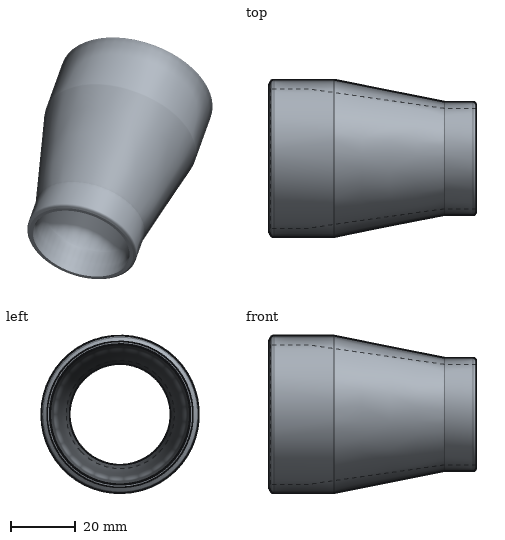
import cadquery as cq
import math

total_length = 64.0
large_radius = 48.6 / 2
large_bore_radius = 43.0 / 2
small_radius = 35.0 / 2
small_bore_radius = 31.0 / 2
large_wall_end = 20.0
bore_taper_start = 12.0
taper_end = 54.0

taper_blend_length = 0.3
taper_blend_drop = 0.03

large_land = 0.8
large_bevel_length = 0.7
large_bevel_height = 1.35
large_shoulder_length = 0.9
mouth_chamfer_height = 0.2
mouth_chamfer_length = 0.5

small_land = 1.15
small_bevel_length = 0.3
small_bevel_height = 0.45
small_shoulder_length = 0.8

large_mouth_radius = large_bore_radius + mouth_chamfer_height
taper_start = large_wall_end + taper_blend_length
taper_start_radius = large_radius - taper_blend_drop
large_land_radius = large_mouth_radius + large_land
large_bevel_radius = large_land_radius + large_bevel_height
large_shoulder_end = large_bevel_length + large_shoulder_length
small_land_radius = small_bore_radius + small_land
small_bevel_radius = small_land_radius + small_bevel_height
small_bevel_start = total_length - small_bevel_length
small_shoulder_start = small_bevel_start - small_shoulder_length


def shoulder_middle(wall_x, wall_radius, end_x, end_radius):
    """Middle point of the arc that leaves the wall tangentially and drops to the end point."""
    length = abs(end_x - wall_x)
    drop = wall_radius - end_radius
    arc_radius = (length**2 + drop**2) / (2 * drop)
    half_angle = math.asin(length / arc_radius) / 2
    direction = math.copysign(1, end_x - wall_x)
    return (
        wall_x + direction * arc_radius * math.sin(half_angle),
        wall_radius - arc_radius * (1 - math.cos(half_angle)),
    )


def wall_section():
    """Closed half section of the wall, drawn as (X, radius)."""
    return (
        cq.Workplane("XY")
        .moveTo(bore_taper_start, large_bore_radius)
        .lineTo(mouth_chamfer_length, large_bore_radius)
        .lineTo(0, large_mouth_radius)
        .lineTo(0, large_land_radius)
        .lineTo(large_bevel_length, large_bevel_radius)
        .threePointArc(
            shoulder_middle(large_shoulder_end, large_radius, large_bevel_length, large_bevel_radius),
            (large_shoulder_end, large_radius),
        )
        .lineTo(large_wall_end, large_radius)
        .threePointArc(
            shoulder_middle(large_wall_end, large_radius, taper_start, taper_start_radius),
            (taper_start, taper_start_radius),
        )
        .lineTo(taper_end, small_radius)
        .lineTo(small_shoulder_start, small_radius)
        .threePointArc(
            shoulder_middle(small_shoulder_start, small_radius, small_bevel_start, small_bevel_radius),
            (small_bevel_start, small_bevel_radius),
        )
        .lineTo(total_length, small_land_radius)
        .lineTo(total_length, small_bore_radius)
        .lineTo(taper_end, small_bore_radius)
        .close()
    )


result = wall_section().revolve(360, (0, 0, 0), (1, 0, 0))